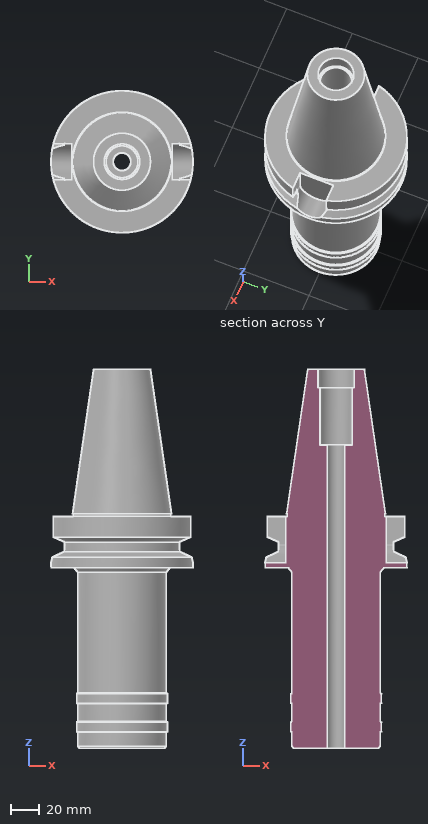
import cadquery as cq

total_height = 266.8
gauge_z = 165.0
flange_top_z = 163.3
upper_ring_bottom_z = 148.5
groove_top_z = 145.1
groove_bottom_z = 138.5
lower_ring_top_z = 134.5
flange_bottom_z = 127.0
neck_bottom_z = 123.8

flange_radius = 100.0 / 2
groove_radius = 42.5
gauge_radius = 35.0
relief_radius = 34.5
neck_radius = 34.0
body_radius = 31.2
taper_ratio = 7 / 24
taper_top_radius = gauge_radius - (total_height - gauge_z) * taper_ratio / 2

band_radius = 32.0
band_width = 7.7
band_chamfer_height = 0.5
band_bottoms = [11.2, 31.2]
nose_chamfer_height = 1.5
nose_chamfer_width = 1.0

through_radius = 6.1
thread_radius = 11.2
counterbore_radius = 12.5
counterbore_depth = 13.0
thread_depth = 53.4

slot_width = 25.3
slot_floor_x = 35.5
slot_bottom_z = 130.7


def band_points(bottom):
    """Radius and height points of one raised band with chamfered edges."""
    top = bottom + band_width
    return [
        (body_radius, bottom),
        (band_radius, bottom + band_chamfer_height),
        (band_radius, top - band_chamfer_height),
        (body_radius, top),
    ]


def turned_body():
    """Solid of revolution: nose, bands, flange with V-groove, and taper."""
    outline = [
        (0, 0),
        (body_radius - nose_chamfer_width, 0),
        (body_radius, nose_chamfer_height),
    ]
    for bottom in band_bottoms:
        outline += band_points(bottom)
    outline += [
        (body_radius, neck_bottom_z),
        (neck_radius, flange_bottom_z),
        (flange_radius, flange_bottom_z),
        (flange_radius, lower_ring_top_z),
        (groove_radius, groove_bottom_z),
        (groove_radius, groove_top_z),
        (flange_radius, upper_ring_bottom_z),
        (flange_radius, flange_top_z),
        (relief_radius, flange_top_z),
        (relief_radius, gauge_z),
        (gauge_radius, gauge_z),
        (taper_top_radius, total_height),
        (0, total_height),
    ]
    return cq.Workplane("XZ").polyline(outline).close().revolve(360, (0, 0), (0, 1))


def bore_step(radius, depth):
    """Cylinder reaching down from the small end of the taper."""
    return cq.Workplane("XY").workplane(offset=total_height - depth).circle(radius).extrude(depth)


def drive_slot(side):
    """Round-bottomed slot cutter on the +X (side = 1) or -X (side = -1) edge."""
    slot_radius = slot_width / 2
    arc_center_z = slot_bottom_z + slot_radius
    return (
        cq.Workplane("YZ", origin=(side * slot_floor_x, 0, 0))
        .moveTo(-slot_radius, flange_top_z)
        .lineTo(-slot_radius, arc_center_z)
        .threePointArc((0, slot_bottom_z), (slot_radius, arc_center_z))
        .lineTo(slot_radius, flange_top_z)
        .close()
        .extrude(side * flange_radius)
    )


result = turned_body()
for radius, depth in [
    (counterbore_radius, counterbore_depth),
    (thread_radius, thread_depth),
    (through_radius, total_height),
]:
    result = result.cut(bore_step(radius, depth))
for side in (-1, 1):
    result = result.cut(drive_slot(side))